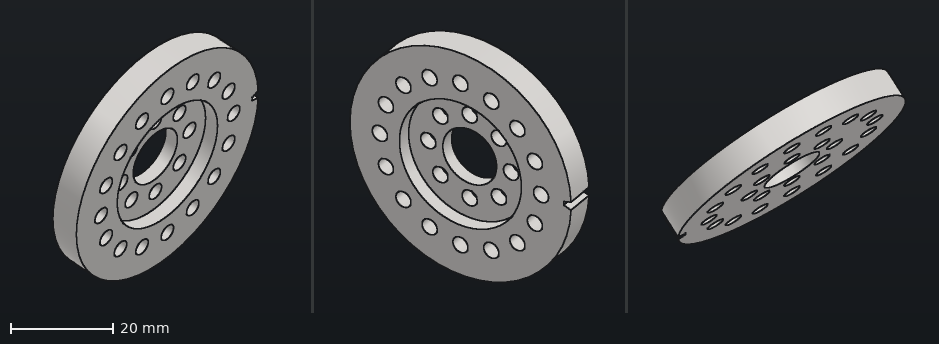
import cadquery as cq
import math

disc_diameter = 52.4
disc_thickness = 6.35
bore_diameter = 12.7

hole_diameter = 3.55
inner_ring_radius = 9.8
inner_ring_count = 8
outer_ring_radius = 19.05
outer_ring_count = 16

recess_radius = (inner_ring_radius + outer_ring_radius) / 2
web_thickness = 3.15

notch_depth = 1.8
notch_floor_width = 0.85
notch_rim_width = 1.9


def make_disc():
    """Plain disc with a central bore, centred on the origin."""
    return (
        cq.Workplane("YZ", origin=(-disc_thickness / 2, 0, 0))
        .circle(disc_diameter / 2)
        .circle(bore_diameter / 2)
        .extrude(disc_thickness)
    )


def make_recess():
    """Cutter that leaves a thinner web around the bore on the -X side."""
    return (
        cq.Workplane("YZ", origin=(web_thickness - disc_thickness / 2, 0, 0))
        .circle(recess_radius)
        .extrude(disc_thickness)
    )


def make_hole_ring(ring_radius, hole_count):
    """Evenly spaced cutting cylinders, the first one on the +Y axis."""
    return (
        cq.Workplane("YZ")
        .polarArray(ring_radius, 0, 360, hole_count)
        .circle(hole_diameter / 2)
        .extrude(disc_thickness, both=True)
    )


def make_notch():
    """Cutter whose straight flanks carry on past the rim."""
    rim_radius = disc_diameter / 2
    rim_y = math.sqrt(rim_radius**2 - (notch_rim_width / 2) ** 2)
    floor_y = rim_radius - notch_depth
    flank_slope = (notch_rim_width - notch_floor_width) / 2 / (rim_y - floor_y)
    outer_y = rim_radius + notch_depth
    floor_half = notch_floor_width / 2
    outer_half = floor_half + flank_slope * (outer_y - floor_y)
    return (
        cq.Workplane("YZ")
        .polyline([
            (floor_y, -floor_half),
            (outer_y, -outer_half),
            (outer_y, outer_half),
            (floor_y, floor_half),
        ])
        .close()
        .extrude(disc_thickness, both=True)
    )


result = (
    make_disc()
    .cut(make_recess())
    .cut(make_hole_ring(inner_ring_radius, inner_ring_count))
    .cut(make_hole_ring(outer_ring_radius, outer_ring_count))
    .cut(make_notch())
)